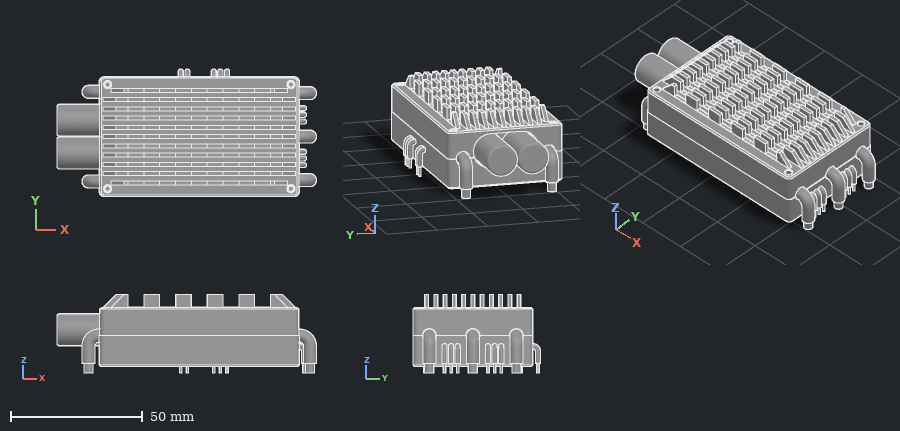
import cadquery as cq

BASE_LENGTH = 76.0
LID_LENGTH = 75.5
BOX_WIDTH = 45.5
BOX_HEIGHT = 22.4
PARTING_Z = 11.7
CORNER_RADIUS = 2.0
EDGE_BREAK = 0.6

FIN_COUNT = 11
FIN_PITCH = 3.5
FIN_THICKNESS = 1.5
FIN_HEIGHT = 5.0
FIN_END_MARGIN = 1.25
OUTER_FIN_SETBACK = 3.0
FIN_GAP_COUNT = 5
FIN_GAP_WIDTH = 6.0
FIN_GAP_FLOOR = 0.25

SCREW_INSET = 3.0
SCREW_BORE_DIAMETER = 2.5
SCREW_BORE_DEPTH = 3.0
SCREW_BORE_CHAMFER = 0.3
SCREW_PILOT_DIAMETER = 2.0

LARGE_HOLE_DEPTH = 2.0
CYLINDER_OPENING_DEPTH = 6.0

CYLINDER_DIAMETER = 12.25
CYLINDER_PITCH = 12.4
CYLINDER_Z = 13.95
CYLINDER_REACH = 16.0
CYLINDER_FILLET = 1.0
CYLINDER_OPENING_DIAMETER = 13.2

PIN_TIP_Z = -2.5
SLEEVE_END_Z = 1.2
LARGE_DIAMETER = 5.0
LARGE_PIN_DIAMETER = 3.5
LARGE_BEND_RADIUS = 4.0
LARGE_Z = 11.75
LARGE_HOLE_DIAMETER = 5.3
SMALL_DIAMETER = 2.0
SMALL_PIN_DIAMETER = 1.0
SMALL_BEND_RADIUS = 1.95
SMALL_Z = 7.75
SMALL_ROOT_LENGTH = 2.0
RIGHT_SMALL_REACH = 1.7

LEFT_LARGE_Y = (-17.0, 17.0)
RIGHT_LARGE_Y = (-16.5, 0.0, 16.5)
SMALL_PITCH = 2.5
RIGHT_SMALL_Y = [
    group + step * SMALL_PITCH
    for group in (-RIGHT_LARGE_Y[2] / 2, RIGHT_LARGE_Y[2] / 2)
    for step in (-1, 0, 1)
]
REAR_PAIR_X = -5.75
REAR_TRIPLE_X = 8.0
REAR_SMALL_X = [REAR_PAIR_X + step * SMALL_PITCH for step in (-0.5, 0.5)]
REAR_SMALL_X += [REAR_TRIPLE_X + step * SMALL_PITCH for step in (-1, 0, 1)]

END_X = BASE_LENGTH / 2
SIDE_Y = BOX_WIDTH / 2
LID_HEIGHT = BOX_HEIGHT - PARTING_Z


def rounded_block(length, height, bottom_z):
    block = cq.Workplane("XY").box(length, BOX_WIDTH, height, centered=(True, True, False))
    return block.edges("|Z").fillet(CORNER_RADIUS).translate((0, 0, bottom_z))


def end_wall_cutter(side):
    """Clearance openings around the parts that leave the end wall on the given side (-1 or +1)."""
    large_y = LEFT_LARGE_Y if side < 0 else RIGHT_LARGE_Y
    holes = cq.Workplane("YZ", origin=(side * END_X, 0, 0)).pushPoints([(y, LARGE_Z) for y in large_y])
    cutter = holes.circle(LARGE_HOLE_DIAMETER / 2).extrude(-side * LARGE_HOLE_DEPTH)
    if side < 0:
        opening = cq.Workplane("YZ", origin=(-END_X, 0, CYLINDER_Z))
        opening = opening.slot2D(CYLINDER_PITCH + CYLINDER_OPENING_DIAMETER, CYLINDER_OPENING_DIAMETER)
        cutter = cutter.union(opening.extrude(CYLINDER_OPENING_DEPTH))
    return cutter


def fin(y, setback):
    """One fin with 45 degree ends."""
    bottom_half = LID_LENGTH / 2 - FIN_END_MARGIN - setback
    top_half = bottom_half - FIN_HEIGHT
    outline = [(-bottom_half, 0), (bottom_half, 0), (top_half, FIN_HEIGHT), (-top_half, FIN_HEIGHT)]
    plane = cq.Workplane("XZ", origin=(0, y, BOX_HEIGHT))
    return plane.polyline(outline).close().extrude(FIN_THICKNESS / 2, both=True)


def fin_gaps():
    """Cross channels that split each fin into blocks and leave a low web between them."""
    gaps = cq.Workplane("XY", origin=(0, 0, BOX_HEIGHT + FIN_GAP_FLOOR))
    gaps = gaps.rarray(2 * FIN_GAP_WIDTH, 1, FIN_GAP_COUNT, 1)
    return gaps.rect(FIN_GAP_WIDTH, BOX_WIDTH).extrude(FIN_HEIGHT)


def screw_holes():
    """Chamfered bores in the lid corners, each narrowing to a pilot hole through the lid."""
    bore_radius = SCREW_BORE_DIAMETER / 2
    pilot_radius = SCREW_PILOT_DIAMETER / 2
    half_section = [
        (0, 0),
        (bore_radius + SCREW_BORE_CHAMFER, 0),
        (bore_radius, -SCREW_BORE_CHAMFER),
        (bore_radius, -SCREW_BORE_DEPTH),
        (pilot_radius, -SCREW_BORE_DEPTH),
        (pilot_radius, -LID_HEIGHT),
        (0, -LID_HEIGHT),
    ]
    cutter = cq.Workplane("XZ").polyline(half_section).close().revolve()
    places = cq.Workplane("XY", origin=(0, 0, BOX_HEIGHT))
    places = places.rarray(LID_LENGTH - 2 * SCREW_INSET, BOX_WIDTH - 2 * SCREW_INSET, 2, 2)
    return places.eachpoint(lambda place: cutter.val().moved(place), combine=False)


def make_lid():
    lid = rounded_block(LID_LENGTH, LID_HEIGHT, PARTING_Z).faces(">Z").chamfer(EDGE_BREAK)
    gaps = fin_gaps()
    last_fin = FIN_COUNT // 2
    for index in range(-last_fin, last_fin + 1):
        setback = OUTER_FIN_SETBACK if abs(index) == last_fin else 0
        lid = lid.union(fin(index * FIN_PITCH, setback).cut(gaps))
    lid = lid.cut(screw_holes())
    for side in (-1, 1):
        lid = lid.cut(end_wall_cutter(side))
    return lid


def bent_terminal(diameter, pin_diameter, bend_radius, axis_z, root_length):
    """A sleeve that leaves the plane X = 0 towards +X, bends down and ends in a thinner pin."""
    path = cq.Workplane("XZ", origin=(0, 0, axis_z)).moveTo(-root_length, 0).lineTo(0, 0)
    path = path.radiusArc((bend_radius, -bend_radius), bend_radius)
    path = path.lineTo(bend_radius, SLEEVE_END_Z - axis_z)
    sleeve = cq.Workplane("YZ", origin=(-root_length, 0, axis_z)).circle(diameter / 2).sweep(path)
    pin = cq.Workplane("XY", origin=(bend_radius, 0, SLEEVE_END_Z)).circle(pin_diameter / 2)
    return sleeve.union(pin.extrude(PIN_TIP_Z - SLEEVE_END_Z))


def twin_cylinders():
    plane = cq.Workplane("YZ", origin=(-END_X + CYLINDER_OPENING_DEPTH, 0, CYLINDER_Z))
    cylinders = plane.rarray(CYLINDER_PITCH, 1, 2, 1).circle(CYLINDER_DIAMETER / 2)
    cylinders = cylinders.extrude(-CYLINDER_REACH - CYLINDER_OPENING_DEPTH)
    return cylinders.faces("<X").edges().fillet(CYLINDER_FILLET)


def make_base():
    base = rounded_block(BASE_LENGTH, PARTING_Z, 0).faces("<Z").chamfer(EDGE_BREAK)
    for side in (-1, 1):
        base = base.cut(end_wall_cutter(side))
    base = base.union(twin_cylinders())

    large = bent_terminal(LARGE_DIAMETER, LARGE_PIN_DIAMETER, LARGE_BEND_RADIUS, LARGE_Z, LARGE_HOLE_DEPTH)
    for y in RIGHT_LARGE_Y:
        base = base.union(large.translate((END_X, y, 0)))
    large_left = large.rotate((0, 0, 0), (0, 0, 1), 180)
    for y in LEFT_LARGE_Y:
        base = base.union(large_left.translate((-END_X, y, 0)))

    small = bent_terminal(SMALL_DIAMETER, SMALL_PIN_DIAMETER, SMALL_BEND_RADIUS, SMALL_Z, SMALL_ROOT_LENGTH)
    right_small_x = END_X + RIGHT_SMALL_REACH - SMALL_BEND_RADIUS
    for y in RIGHT_SMALL_Y:
        base = base.union(small.translate((right_small_x, y, 0)))
    small_rear = small.rotate((0, 0, 0), (0, 0, 1), 90)
    for x in REAR_SMALL_X:
        base = base.union(small_rear.translate((x, SIDE_Y, 0)))
    return base


lid = make_lid()
base = make_base()

result = cq.Compound.makeCompound([lid.val(), base.val()])